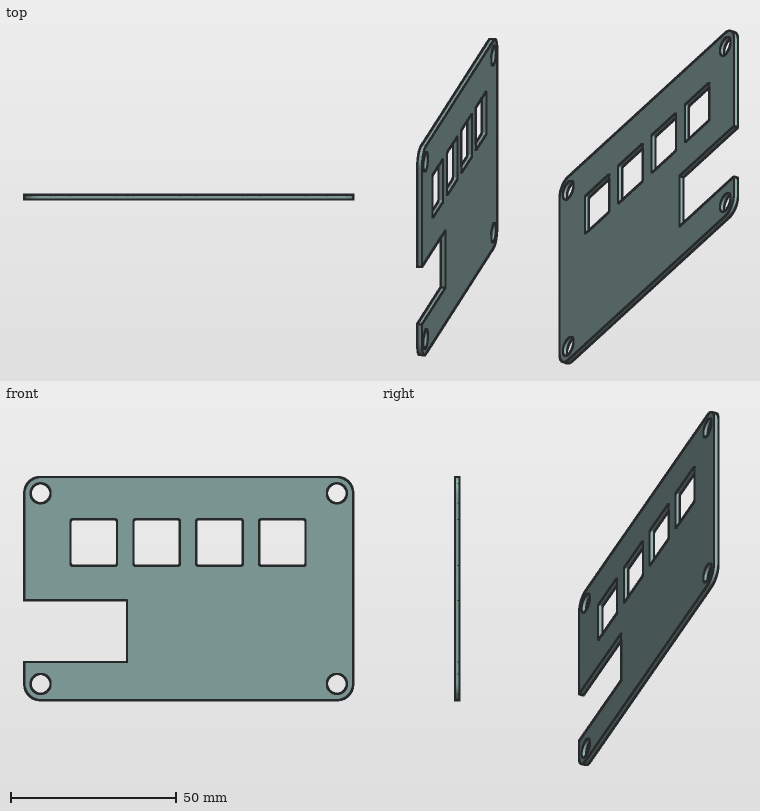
import cadquery as cq

plate_length = 99.6
plate_thickness = 1.5
plate_height = 67.6
corner_radius = 5.0

hole_diameter = 6.0

window_count = 4
window_size = 13.9
window_pitch = 19.0
window_corner_radius = 0.5
window_row_x = -0.2
window_row_z = 13.9

notch_depth = 31.1
notch_height = 18.6
notch_z = -12.8


def back_face_plane():
    """Workplane on the +Y face; extrusions run toward -Y, through the plate."""
    return cq.Workplane("XZ", origin=(0, plate_thickness / 2, 0))


def plate():
    """Flat plate with its four corners rounded."""
    return (
        cq.Workplane("XY")
        .box(plate_length, plate_thickness, plate_height)
        .edges("|Y")
        .fillet(corner_radius)
    )


def mounting_holes():
    """Cutting cylinders for the four corner holes."""
    spacing_x = plate_length - 2 * corner_radius
    spacing_z = plate_height - 2 * corner_radius
    return (
        back_face_plane()
        .rect(spacing_x, spacing_z, forConstruction=True)
        .vertices()
        .circle(hole_diameter / 2)
        .extrude(plate_thickness)
    )


def windows():
    """Cutting blocks for the evenly spaced row of windows."""
    return (
        back_face_plane()
        .center(window_row_x, window_row_z)
        .rarray(window_pitch, window_pitch, window_count, 1)
        .rect(window_size, window_size)
        .extrude(plate_thickness)
        .edges("|Y")
        .fillet(window_corner_radius)
    )


def notch():
    """Cutting block for the notch; it overshoots the edge by its own depth."""
    return (
        back_face_plane()
        .center(-plate_length / 2, notch_z)
        .rect(2 * notch_depth, notch_height)
        .extrude(plate_thickness)
    )


result = plate().cut(mounting_holes()).cut(windows()).cut(notch())